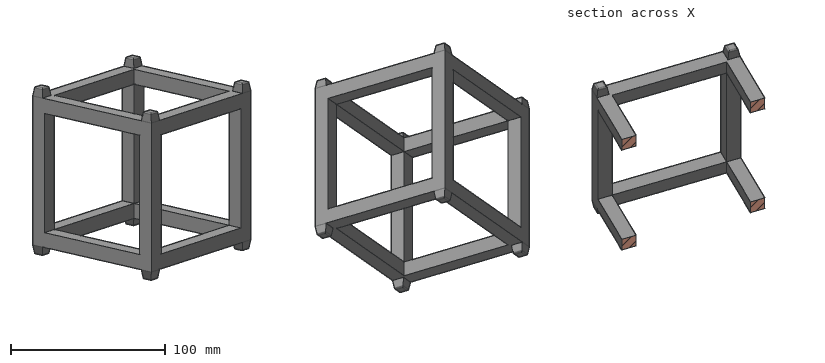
import cadquery as cq

overall_height = 112.5
frame_side = 100.0
bar_width = 10.0

peg_base = 8.4
peg_taper_inset = 1.0
peg_rim_radius = 1.0

window_side = frame_side - 2 * bar_width
peg_height = (overall_height - frame_side) / 2
peg_tip = peg_base - 2 * peg_taper_inset
peg_offset = (frame_side - peg_base) / 2


def open_frame():
    """Cube with a square window through each pair of opposite faces, leaving its twelve edge bars."""
    frame = cq.Workplane("XY").box(frame_side, frame_side, frame_side)
    for plane in ("XY", "XZ", "YZ"):
        window = cq.Workplane(plane).rect(window_side, window_side).extrude(frame_side, both=True)
        frame = frame.cut(window)
    return frame


def upright_peg():
    """Tapered square peg with a rounded rim, centred on the Z axis at the height of the frame's top."""
    return (
        cq.Workplane("XY", origin=(0, 0, frame_side / 2))
        .rect(peg_base, peg_base)
        .workplane(offset=peg_height)
        .rect(peg_tip, peg_tip)
        .loft(ruled=True)
        .faces(">Z")
        .edges()
        .fillet(peg_rim_radius)
    )


result = open_frame()
top_peg = upright_peg()
bottom_peg = top_peg.mirror("XY")
for x in (-peg_offset, peg_offset):
    for y in (-peg_offset, peg_offset):
        for peg in (top_peg, bottom_peg):
            result = result.union(peg.translate((x, y, 0)))